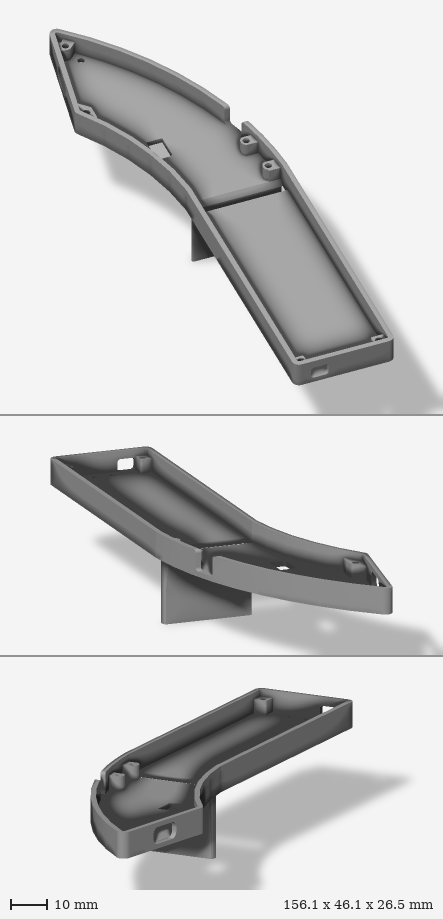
import cadquery as cq
import math

WIDTH = 30.0
STRAIGHT_LENGTH = 80.0
HEIGHT = 7.5
WALL = 1.5
FLOOR = 1.5
CORNER_RADIUS = 2.0

OUTER_ARC_RADIUS = 111.0
INNER_ARC_RADIUS = 81.0
END_WALL_ANGLE = 10.0
END_WALL_LENGTH = 37.05
HEEL_X, HEEL_Y = -41.4, -31.23

POST_HEIGHT = 4.0
POST_RADIUS = 1.75
HOLE_DIAMETER = 2.0
POST_CORNER_RADIUS = 0.5
TIP_POST_WEB = 4.4
CORNER_POST_X = 76.25
CORNER_POST_Y = 11.5
CORNER_POST_FACES = (9.75, -10.25)
WALL_POSTS = [(-14.9, 8.95), (-2.95, 10.7)]
WALL_POST_TO_FACE = 1.6
WALL_POST_CORNER_RADIUS = 1.55
SHOULDER_Y = 10.0
TIP_POST = (-70.45, -22.3)
TIP_WALL_DIRECTIONS = (136, 270 - END_WALL_ANGLE)
HEEL_POST = (-42.5, -27.3)
HEEL_POST_EDGE = [(-47.2, -28.6), (-44.0, -25.4), (-40.0, -25.4), (-36.8, -26.0)]
FLOOR_HOLES = [(76.0, 2.54), (76.0, -2.54), (-67.4, -18.9)]

WINDOW_LEFT, WINDOW_RIGHT = -28.8, -20.9
WINDOW_BOTTOM, WINDOW_TOP = -15.1, -10.4
WINDOW_RADIUS = 1.0

PLATE_DROP = 19.0
PLATE_THICKNESS = 2.1
PLATE_FRONT_X = 0.7
PLATE_FRONT_EDGE_RADIUS = 0.5
PLATE_SIDE = [(-0.87, 0.45), (-1.4, 0.9), (-3.6, 1.7)]
SLOT_WIDTH = 3.6
TAPER_START = 11.7
TAPER_END = 6.6
ROOT_DEPTH = 1.4
ROOT_REACH = 1.0
TAPER_ANGLE = 6.6

END_SLOT_LENGTH = 10.4
END_SLOT_HEIGHT = 4.8
END_SLOT_CORNER_RADIUS = 2.0
END_SLOT_FROM_HEEL = 17.5
NOTCH_LEFT, NOTCH_RIGHT = -28.0, -20.9
NOTCH_RADIUS = 1.0
PORT_BOTTOM_Y, PORT_TOP_Y = -10.2, -4.9
PORT_HEIGHT = 3.6
PORT_CORNER_RADIUS = 1.0

INNER_HALF_WIDTH = WIDTH / 2 - WALL
END_WALL_DIRECTION = (
    math.cos(math.radians(END_WALL_ANGLE)),
    -math.sin(math.radians(END_WALL_ANGLE)),
)
TIP_X = HEEL_X - END_WALL_LENGTH * END_WALL_DIRECTION[0]
TIP_Y = HEEL_Y - END_WALL_LENGTH * END_WALL_DIRECTION[1]


def blank():
    """Solid block with the outer outline of the tray and rounded corners."""
    half = WIDTH / 2
    block = (
        cq.Workplane("XY")
        .moveTo(0, -half)
        .lineTo(STRAIGHT_LENGTH, -half)
        .lineTo(STRAIGHT_LENGTH, half)
        .lineTo(0, half)
        .radiusArc((TIP_X, TIP_Y), -OUTER_ARC_RADIUS)
        .lineTo(HEEL_X, HEEL_Y)
        .radiusArc((0, -half), INNER_ARC_RADIUS)
        .close()
        .extrude(HEIGHT)
    )
    corners = [
        (STRAIGHT_LENGTH, -half),
        (STRAIGHT_LENGTH, half),
        (TIP_X, TIP_Y),
        (HEEL_X, HEEL_Y),
    ]
    for x, y in corners:
        corner_edge = cq.selectors.NearestToPointSelector((x, y, HEIGHT / 2))
        block = block.edges(corner_edge).fillet(CORNER_RADIUS)
    return block


def cavity(block):
    """Space inside the walls, above the floor."""
    outline = block.faces(">Z").wires().val()
    inner = cq.Workplane("XY").add(outline.offset2D(-WALL)).toPending().extrude(-HEIGHT)
    return inner.translate((0, 0, FLOOR))


def block_between(x_min, x_max, y_min, y_max, z_min, z_max):
    """Axis-aligned box given by its limits."""
    size = (x_max - x_min, y_max - y_min, z_max - z_min)
    return cq.Workplane("XY").box(*size, centered=False).translate((x_min, y_min, z_min))


def rounded_post(x, y, wall_direction):
    """Round post with a straight-sided web that runs into the wall."""
    reach = TIP_POST_WEB
    web = (
        cq.Workplane("XY")
        .rect(reach, 2 * POST_RADIUS)
        .extrude(POST_HEIGHT)
        .translate((reach / 2, 0, 0))
        .rotate((0, 0, 0), (0, 0, 1), wall_direction)
    )
    post = cq.Workplane("XY").circle(POST_RADIUS).extrude(POST_HEIGHT)
    return post.union(web).translate((x, y, FLOOR))


def wall_post(x, y):
    """Post on the outer wall with a rounded free end."""
    post = block_between(
        x - POST_RADIUS, x + POST_RADIUS, y - WALL_POST_TO_FACE, WIDTH / 2, FLOOR, FLOOR + POST_HEIGHT
    )
    return post.edges("|Z and <Y").fillet(WALL_POST_CORNER_RADIUS)


def slot_shoulder():
    """Block that widens the last wall post up to the edge of the floor slot."""
    x_min = WALL_POSTS[-1][0]
    x_max = PLATE_FRONT_X - FLOOR
    return block_between(x_min, x_max, SHOULDER_Y, WIDTH / 2, FLOOR, FLOOR + POST_HEIGHT)


def corner_post(face_y):
    """Square post in a corner of the straight section; face_y is its free side."""
    x_min = CORNER_POST_X - POST_RADIUS
    x_max = STRAIGHT_LENGTH - WALL
    wall_y = math.copysign(INNER_HALF_WIDTH, face_y)
    y_min, y_max = sorted((face_y, wall_y))
    post = block_between(x_min, x_max, y_min, y_max, FLOOR, FLOOR + POST_HEIGHT)
    free_corner = cq.selectors.NearestToPointSelector((x_min, face_y, FLOOR + POST_HEIGHT / 2))
    return post.edges(free_corner).fillet(POST_CORNER_RADIUS)


def heel_post():
    """Many-sided post that fills the corner at the heel."""
    points = HEEL_POST_EDGE + [(HEEL_X, HEEL_Y)]
    return cq.Workplane("XY", origin=(0, 0, FLOOR)).polyline(points).close().extrude(POST_HEIGHT)


def posts(inside):
    """All screw posts, trimmed to the cavity and drilled down to the floor."""
    solid = heel_post().union(slot_shoulder())
    for face_y in CORNER_POST_FACES:
        solid = solid.union(corner_post(face_y))
    for x, y in WALL_POSTS:
        solid = solid.union(wall_post(x, y))
    for wall_direction in TIP_WALL_DIRECTIONS:
        solid = solid.union(rounded_post(*TIP_POST, wall_direction))
    centres = WALL_POSTS + [TIP_POST, HEEL_POST]
    centres += [(CORNER_POST_X, CORNER_POST_Y), (CORNER_POST_X, -CORNER_POST_Y)]
    return solid.intersect(inside).cut(round_holes(centres, FLOOR))


def round_holes(centres, z_start):
    """Vertical round cutters that start at the given height."""
    plane = cq.Workplane("XY", origin=(0, 0, z_start))
    return plane.pushPoints(centres).circle(HOLE_DIAMETER / 2).extrude(HEIGHT)


def hanging_plate():
    """Plate below the floor; its back tapers and flares into the floor."""
    back_x = PLATE_FRONT_X - PLATE_THICKNESS
    taper = math.radians(TAPER_ANGLE)
    bend_x = back_x - (TAPER_START - TAPER_END) * math.tan(taper / 2)
    root_x = bend_x - (TAPER_END - ROOT_DEPTH) * math.tan(taper)
    plate = (
        cq.Workplane("XZ")
        .moveTo(PLATE_FRONT_X, 0)
        .lineTo(PLATE_FRONT_X, -PLATE_DROP)
        .lineTo(back_x, -PLATE_DROP)
        .lineTo(back_x, -TAPER_START)
        .tangentArcPoint((bend_x, -TAPER_END), relative=False)
        .lineTo(root_x, -ROOT_DEPTH)
        .tangentArcPoint((root_x - ROOT_REACH, 0), relative=False)
        .close()
        .extrude(INNER_HALF_WIDTH, both=True)
    )
    plate = plate.intersect(plate_plan())
    return plate.faces(">X").edges("|Z").fillet(PLATE_FRONT_EDGE_RADIUS)


def plate_plan():
    """Prism that narrows the plate toward its back; PLATE_SIDE lists (x, inset)."""
    front_corner = (PLATE_FRONT_X, INNER_HALF_WIDTH)
    side = [front_corner] + [(x, INNER_HALF_WIDTH - inset) for x, inset in PLATE_SIDE]
    mirrored_side = [(x, -y) for x, y in reversed(side)]
    return cq.Workplane("XY").polyline(side + mirrored_side).close().extrude(-PLATE_DROP)


def floor_slot():
    """Slot across the floor; the edge above the plate is a sloped ramp."""
    profile = [
        (PLATE_FRONT_X - FLOOR, FLOOR),
        (PLATE_FRONT_X, 0),
        (PLATE_FRONT_X + SLOT_WIDTH, 0),
        (PLATE_FRONT_X + SLOT_WIDTH, FLOOR),
    ]
    return cq.Workplane("XZ").polyline(profile).close().extrude(INNER_HALF_WIDTH, both=True)


def floor_window():
    """Rectangular window in the floor, rounded at its +X end."""
    window = block_between(WINDOW_LEFT, WINDOW_RIGHT, WINDOW_BOTTOM, WINDOW_TOP, 0, FLOOR)
    return window.edges("|Z and >X").fillet(WINDOW_RADIUS)


def end_wall_slot():
    """Long opening with large rounded corners through the slanted end wall."""
    x = HEEL_X - END_SLOT_FROM_HEEL * END_WALL_DIRECTION[0]
    y = HEEL_Y - END_SLOT_FROM_HEEL * END_WALL_DIRECTION[1]
    return (
        cq.Workplane("XZ")
        .rect(END_SLOT_LENGTH, END_SLOT_HEIGHT)
        .extrude(-WALL)
        .edges("|Y")
        .fillet(END_SLOT_CORNER_RADIUS)
        .rotate((0, 0, 0), (0, 0, 1), -END_WALL_ANGLE)
        .translate((x, y, HEIGHT / 2))
    )


def wall_notch():
    """Notch down to the floor in the outer curved wall, rounded at foot and rim."""
    r = NOTCH_RADIUS
    profile = (
        cq.Workplane("XZ")
        .moveTo(NOTCH_LEFT + r, FLOOR)
        .lineTo(NOTCH_RIGHT - r, FLOOR)
        .radiusArc((NOTCH_RIGHT, FLOOR + r), -r)
        .lineTo(NOTCH_RIGHT, HEIGHT - r)
        .radiusArc((NOTCH_RIGHT + r, HEIGHT), r)
        .lineTo(NOTCH_LEFT - r, HEIGHT)
        .radiusArc((NOTCH_LEFT, HEIGHT - r), r)
        .lineTo(NOTCH_LEFT, FLOOR + r)
        .radiusArc((NOTCH_LEFT + r, FLOOR), -r)
        .close()
    )
    return profile.extrude(-WIDTH / 2)


def end_port():
    """Small rounded opening at floor level through the +X end wall."""
    inner_x = STRAIGHT_LENGTH - WALL
    port = block_between(
        inner_x, STRAIGHT_LENGTH, PORT_BOTTOM_Y, PORT_TOP_Y, FLOOR, FLOOR + PORT_HEIGHT
    )
    return port.edges("|X").fillet(PORT_CORNER_RADIUS)


block = blank()
inside = cavity(block)
tray = block.cut(inside).cut(floor_slot()).union(posts(inside)).union(hanging_plate())
for opening in (floor_window(), end_wall_slot(), wall_notch(), end_port()):
    tray = tray.cut(opening)
result = tray.cut(round_holes(FLOOR_HOLES, 0))